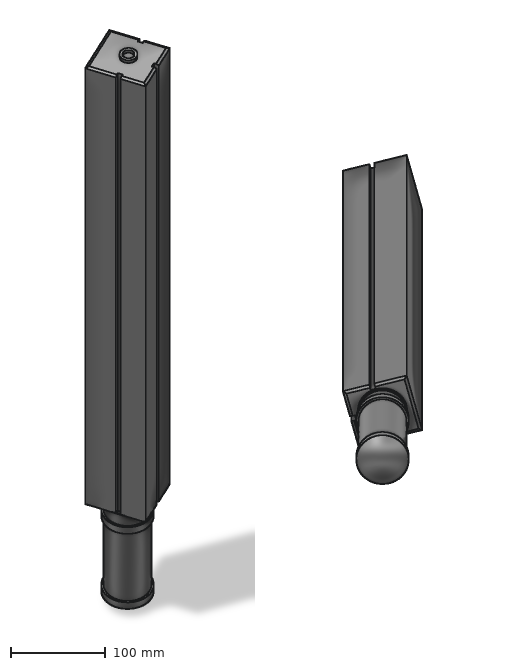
import cadquery as cq

total_height = 791.0
body_x = 70.0
body_y = 64.0

body_bottom = 151.0
boss_height = 4.0
end_bevel_height = 1.5
end_bevel_width = 3.0
body_top = total_height - boss_height
body_height = body_top - body_bottom

boss_radius = 9.5
recess_radius = 6.0
boss_shift = 1.0

groove_width = 5.5
groove_depth = 5.5
groove_shift = 3.0

neck_radius = 26.0
housing_radius = 25.0
collar_radius = 28.0
neck_bottom = 146.0
collar_height = 9.5
upper_collar_bottom = 121.0
dome_height = 12.0


def cylinder(radius, bottom, height):
    return cq.Workplane("XY").workplane(offset=bottom).circle(radius).extrude(height)


def block(size_x, size_y, height, bottom, center_x=0, center_y=0):
    return (
        cq.Workplane("XY")
        .box(size_x, size_y, height, centered=(True, True, False))
        .translate((center_x, center_y, bottom))
    )


def make_body():
    """Rectangular bar with bevelled ends and grooves on the front, back and +X faces."""
    body = block(body_x, body_y, body_height, body_bottom)
    body = body.faces("<Z or >Z").chamfer(end_bevel_height, end_bevel_width)

    for side in (-1, 1):
        body = body.cut(
            block(groove_width, 2 * groove_depth, body_height, body_bottom, groove_shift, side * body_y / 2)
        )
    return body.cut(block(2 * groove_depth, groove_width, body_height, body_bottom, body_x / 2))


def make_boss():
    boss = cylinder(boss_radius, body_top, boss_height)
    boss = boss.cut(cylinder(recess_radius, body_top, boss_height))
    return boss.translate((boss_shift, boss_shift, 0))


def make_dome():
    """Spherical cap closing the lower end of the housing."""
    sphere_radius = (collar_radius**2 + dome_height**2) / (2 * dome_height)
    sphere = cq.Workplane("XY").sphere(sphere_radius).translate((0, 0, sphere_radius))
    return sphere.intersect(cylinder(collar_radius, 0, dome_height))


def make_housing():
    """Neck, main barrel, two collars and the domed end."""
    housing = cylinder(housing_radius, dome_height, body_bottom - dome_height)
    housing = housing.union(cylinder(neck_radius, neck_bottom, body_bottom - neck_bottom))
    for collar_bottom in (dome_height, upper_collar_bottom):
        housing = housing.union(cylinder(collar_radius, collar_bottom, collar_height))
    return housing.union(make_dome())


result = make_body().union(make_boss()).union(make_housing())